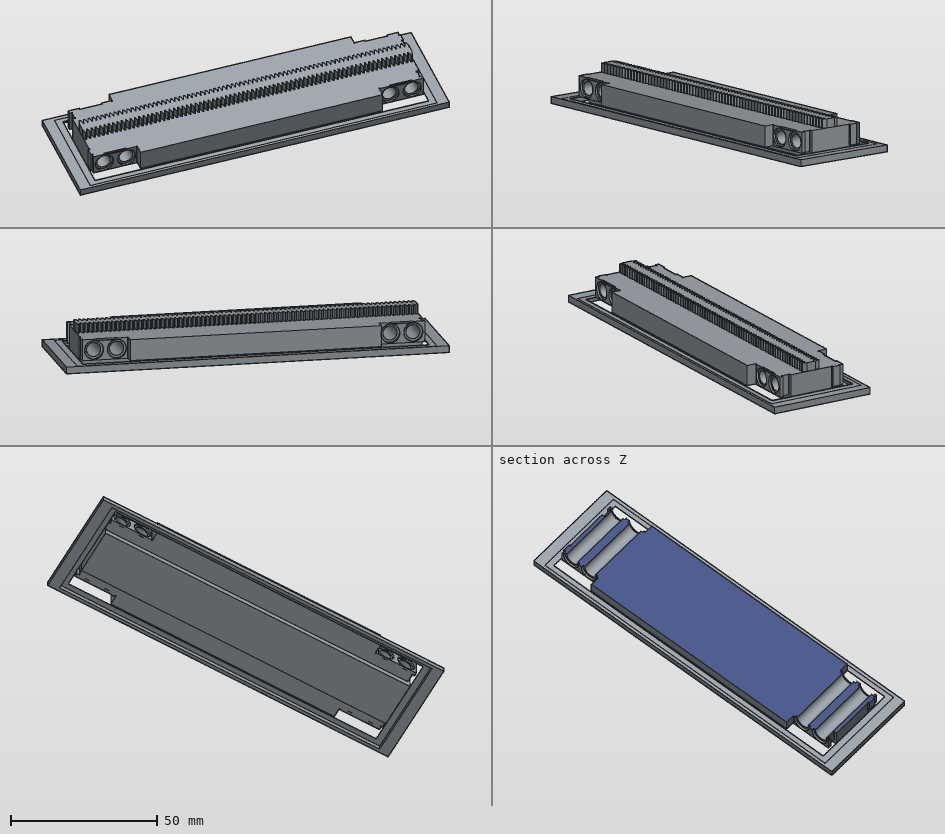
import cadquery as cq

frame_length = 134.2
frame_width = 38.4
frame_height = 2.4
opening_length = 121.3
opening_width = 32.3
rim_side = 1.2
rim_end = 4.0
lip_thickness = 0.2

overall_height = 13.2
block_lift = 0.2
block_height = 7.4
block_bottom = frame_height + block_lift
block_top = block_bottom + block_height
block_length = 120.0
end_width = 25.4
middle_width = 32.0
middle_length = 88.0

tab_inner = 8.5
tab_outer = 11.3
tab_height = 0.4
joint_clearance = 0.1
notch_inner = tab_inner - joint_clearance
notch_outer = tab_outer + joint_clearance
notch_depth = 0.8
relief = 0.3

hole_diameter = 5.0
counterbore_diameter = 6.6
counterbore_depth = 0.8
hole_pitch = 8.0
hole_end_distance = 4.0
hole_z = 6.2
step_depth = 0.5

tooth_count = 76
tooth_pitch = block_length / tooth_count
rack_setback = 0.07
rack_width = 6.6
core_width = 3.4
tip_land = 0.45
root_land = 0.24

SIGNS = (-1, 1)


def box(x_min, x_max, y_min, y_max, z_min, z_max):
    """Axis-aligned box given by its limits."""
    size = (x_max - x_min, y_max - y_min, z_max - z_min)
    return cq.Workplane("XY").box(*size, centered=False).translate((x_min, y_min, z_min))


def make_frame():
    frame = cq.Workplane("XY").rect(frame_width, frame_length).extrude(frame_height)
    hollow = (
        cq.Workplane("XY")
        .rect(frame_width - 2 * rim_side, frame_length - 2 * rim_end)
        .extrude(frame_height - lip_thickness)
    )
    opening = cq.Workplane("XY").rect(opening_width, opening_length).extrude(frame_height)
    return frame.cut(hollow).cut(opening)


def block_plate(width, length):
    """Rectangular plate centred on the Z axis, from the block bottom to its top."""
    base = cq.Workplane("XY").workplane(offset=block_bottom)
    return base.rect(width, length).extrude(block_height)


def end_box(end, side, x_inner, x_outer, y_inner, y_outer):
    """Upright box through the block, placed by distances from the two centre planes."""
    xs = sorted((side * x_inner, side * x_outer))
    ys = sorted((end * y_inner, end * y_outer))
    return box(*xs, *ys, block_bottom, block_top)


def add_tab(body, end):
    """Tab on an end face, with a relief groove in that face along each side of the tab."""
    end_y = block_length / 2
    body = body.union(end_box(end, -end, tab_inner, tab_outer, end_y - relief, end_y + tab_height))
    for groove_inner in (tab_inner - relief, tab_outer):
        groove_outer = groove_inner + relief
        body = body.cut(end_box(end, -end, groove_inner, groove_outer, end_y - relief, end_y))
    return body


def cut_notch(body, end):
    """Notch in an end face, with a relief groove in its floor along each side wall."""
    end_y = block_length / 2
    floor_y = end_y - notch_depth
    body = body.cut(end_box(end, end, notch_inner, notch_outer, floor_y, end_y))
    for groove_inner in (notch_inner, notch_outer - relief):
        groove_outer = groove_inner + relief
        body = body.cut(end_box(end, end, groove_inner, groove_outer, floor_y - relief, floor_y))
    return body


def cut_shoulder_reliefs(body, end):
    """Relief grooves where the narrow end meets the wide middle."""
    half_width = end_width / 2
    shoulder_y = middle_length / 2
    for side in SIGNS:
        groove = end_box(end, side, half_width - relief, half_width, shoulder_y, shoulder_y + relief)
        body = body.cut(groove)
    return body


def make_block():
    body = block_plate(end_width, block_length).union(block_plate(middle_width, middle_length))
    for end in SIGNS:
        body = add_tab(body, end)
        body = cut_notch(body, end)
        body = cut_shoulder_reliefs(body, end)
    foot = cq.Workplane("XY").rect(2 * notch_inner, block_length).extrude(block_bottom)
    return body.union(foot)


def cross_bore(y, diameter, x_min, x_max):
    """Bore along X through a narrow end."""
    return (
        cq.Workplane("YZ").workplane(offset=x_min)
        .center(y, hole_z).circle(diameter / 2).extrude(x_max - x_min)
    )


def cut_cross_holes(body):
    half_width = end_width / 2
    outer_y = block_length / 2 - hole_end_distance
    inner_y = outer_y - hole_pitch
    step_bottom = hole_z + counterbore_diameter / 2
    floor_x = half_width - counterbore_depth
    step_x = half_width - step_depth
    for end in SIGNS:
        for y in (end * outer_y, end * inner_y):
            body = body.cut(cross_bore(y, hole_diameter, -half_width, half_width))
            for side in SIGNS:
                bore_xs = sorted((side * floor_x, side * half_width))
                body = body.cut(cross_bore(y, counterbore_diameter, *bore_xs))
        for side in SIGNS:
            step_xs = sorted((side * step_x, side * half_width))
            step_ys = sorted((end * inner_y, end * outer_y))
            body = body.cut(box(*step_xs, *step_ys, step_bottom, block_top))
    return body


def tooth_points(centre, side):
    """Corners of one tooth, from the root on one flank to the root on the other."""
    tip_x = side * rack_width / 2
    root_x = side * core_width / 2
    half_root = (tooth_pitch - root_land) / 2
    return [
        (root_x, side * (centre - half_root)),
        (tip_x, side * (centre - tip_land / 2)),
        (tip_x, side * (centre + tip_land / 2)),
        (root_x, side * (centre + half_root)),
    ]


def make_rack():
    half_length = block_length / 2
    end_y = half_length - rack_setback
    points = []
    for side in SIGNS:
        root_x = side * core_width / 2
        points.append((root_x, -side * end_y))
        for index in range(tooth_count):
            centre = -half_length + (index + 0.5) * tooth_pitch
            points.extend(tooth_points(centre, side))
        points.append((root_x, side * end_y))
    base = cq.Workplane("XY").workplane(offset=block_top)
    return base.polyline(points).close().extrude(overall_height - block_top)


frame = make_frame()
rack_block = cut_cross_holes(make_block()).union(make_rack())
result = cq.Compound.makeCompound([frame.val(), rack_block.val()])